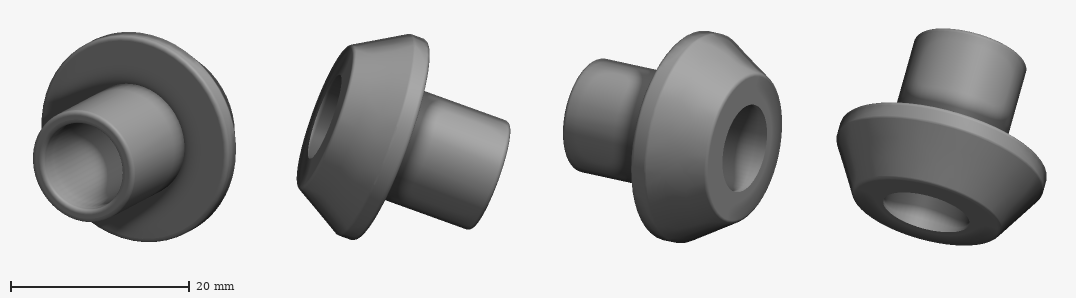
import cadquery as cq
import math

flange_diameter = 24.0
tube_diameter = 13.0
bore_diameter = 10.0
total_length = 20.0
head_length = 8.0
rim_length = 2.0
cone_half_angle = 30.0
edge_radius = 0.5

flange_radius = flange_diameter / 2
tube_radius = tube_diameter / 2
bore_radius = bore_diameter / 2
tube_length = total_length - head_length
cone_start = tube_length + rim_length
cone_length = total_length - cone_start
back_radius = flange_radius - cone_length * math.tan(math.radians(cone_half_angle))


def make_turned_body():
    """Revolve the half section: tube, flange rim and tapered head around the bore."""
    section = (
        cq.Workplane("XY")
        .moveTo(bore_radius, 0)
        .lineTo(tube_radius, 0)
        .lineTo(tube_radius, tube_length)
        .lineTo(flange_radius, tube_length)
        .lineTo(flange_radius, cone_start)
        .lineTo(back_radius, total_length)
        .lineTo(bore_radius, total_length)
        .close()
    )
    return section.revolve(360, (0, 0, 0), (0, 1, 0))


def ring_edge(radius, y):
    """Select the circular edge of the given radius at the given place along the axis."""
    margin = edge_radius / 2
    outer = radius + margin
    inner = radius - margin
    return cq.selectors.BoxSelector(
        (-outer, y - margin, -outer), (outer, y + margin, outer), boundingbox=True
    ) - cq.selectors.BoxSelector(
        (-inner, y - margin, -inner), (inner, y + margin, inner), boundingbox=True
    )


rounded_edges = [
    (bore_radius, 0),
    (tube_radius, 0),
    (flange_radius, tube_length),
    (flange_radius, cone_start),
    (back_radius, total_length),
]

result = make_turned_body()
for ring_radius, ring_y in rounded_edges:
    result = result.edges(ring_edge(ring_radius, ring_y)).edges("%CIRCLE").fillet(edge_radius)